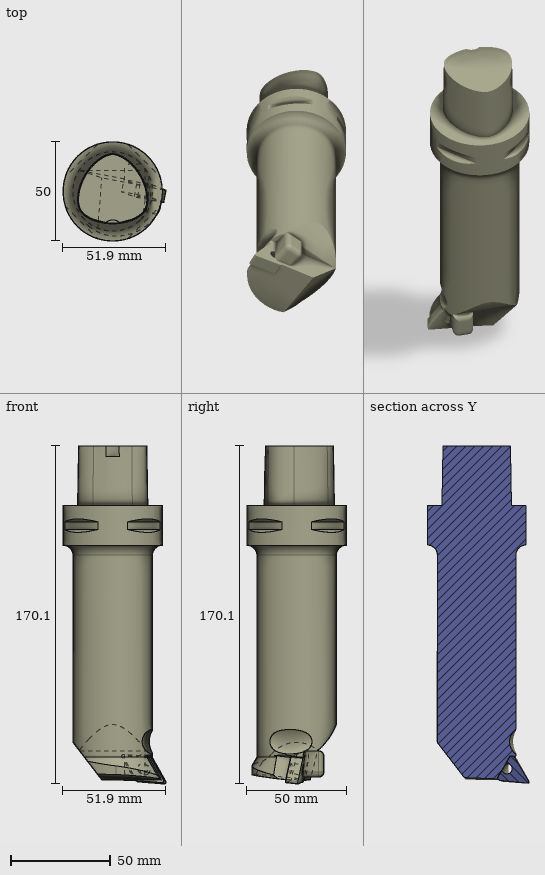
import cadquery as cq
import math


shank_height = 30.0
shank_base_radius = 17.7
shank_top_radius = 17.2
lobe_height = 1.4
corner_half_angle = 38
arc_steps = 4
key_notch_radius = 4.6
key_notch_depth = 5.3
key_notch_center_y = -18.9
flange_radius = 50.0 / 2
flange_height = 20.0
groove_floor_distance = 22.1
groove_center_z = -10.2
groove_floor_height = 3.7
groove_mouth_height = 6.8
groove_angles = (45, 135, 225, 315)

bar_radius = 40.0 / 2
neck_fillet = flange_radius - bar_radius
flare_start_z = -126.6
flare_angle = 30
head_low_z = -141.1
flare_end_radius = bar_radius + (flare_start_z - head_low_z) * math.tan(math.radians(flare_angle))
head_wall_center_x = 1.7
head_wall_front_y = -22.5
head_wall_left_radius = 21.5
head_wall_right_radius = 25.0
bottom_plane_z = -137.5
bottom_normal = (0.04, 0.1, 1)
relief_start_z = -119.2
relief_end = (-5.5, -138.0)

tip = (27.5, 0.3, -140.2)
rake_normal = (0.19, 1, -0.11)
insert_edge = 15.5
insert_angle = 55
insert_lead_angle = 4.5
insert_thickness = 6.3
insert_nose_radius = 0.8
insert_hole_diameter = 5.1
flank_clearance = 0.8

pocket_start = (bar_radius + 0.3, -109.3)
pocket_middle = (15.6, -118.0)
pocket_end = (10.5, -123.5)
scallop_radius = 7.6
scallop_center = (22.6, -13.3, -118.8)
scallop_axis = (0.17, 1, 0)
clamp_center_x = 11.0
clamp_width = 10.2
clamp_top_y = 13.8
clamp_low_z = -136.7
clamp_corner_radius = 2.7

cut_size = 102
rake_plane = cq.Plane(origin=tip, xDir=(-rake_normal[1], rake_normal[0], 0), normal=rake_normal)


def lobed_point(normal_angle, radius):
    """Point on a three-lobed curve of constant width, one lobe pointing to +Y."""
    angle = math.radians(normal_angle)
    support = radius - lobe_height * math.sin(3 * angle)
    slope = -3 * lobe_height * math.cos(3 * angle)
    x = support * math.cos(angle) - slope * math.sin(angle)
    y = support * math.sin(angle) + slope * math.cos(angle)
    return (x, y)


def lobed_edge(center_angle, half_angle, radius, z):
    """Smooth stretch of the lobed curve; both angles are directions of its normal."""
    angles = [center_angle + half_angle * step / arc_steps for step in range(-arc_steps, arc_steps + 1)]
    points = [cq.Vector(*lobed_point(angle, radius), z) for angle in angles]
    ends = [math.radians(angles[0]), math.radians(angles[-1])]
    tangents = [cq.Vector(-math.sin(end), math.cos(end), 0) for end in ends]
    return cq.Edge.makeSpline(points, tangents=tangents)


def lobed_wire(radius, z):
    """Closed section: a corner and a flatter side for each of the three lobes."""
    edges = []
    for lobe_angle in (90, 210, 330):
        edges.append(lobed_edge(lobe_angle, corner_half_angle, radius, z))
        edges.append(lobed_edge(lobe_angle + 60, 60 - corner_half_angle, radius, z))
    return cq.Wire.assembleEdges(edges)


def make_shank():
    base = lobed_wire(shank_base_radius, 0)
    top = lobed_wire(shank_top_radius, shank_height)
    shank = cq.Workplane(cq.Solid.makeLoft([base, top], True))
    notch = (
        cq.Workplane("XY", origin=(0, key_notch_center_y, shank_height - key_notch_depth))
        .circle(key_notch_radius)
        .extrude(key_notch_depth)
    )
    return shank.cut(notch)


def make_bar_and_cone():
    """Flange, concave neck, straight bar and flared cone as one turned profile."""
    fillet_z = -flange_height - neck_fillet
    diagonal = neck_fillet * (1 - math.sqrt(0.5))
    profile = (
        cq.Workplane("XZ")
        .moveTo(0, 0)
        .lineTo(flange_radius, 0)
        .lineTo(flange_radius, -flange_height)
        .threePointArc(
            (bar_radius + diagonal, -flange_height - diagonal),
            (bar_radius, fillet_z),
        )
        .lineTo(bar_radius, flare_start_z)
        .lineTo(flare_end_radius, head_low_z)
        .lineTo(0, head_low_z)
        .close()
    )
    return profile.revolve(360, (0, 0, 0), (0, 1, 0))


def make_gripper_groove(angle):
    """Trapezoidal straight groove across one side of the flange."""
    depth = flange_radius - groove_floor_distance
    slope = (groove_mouth_height - groove_floor_height) / 2 / depth
    outer_distance = flange_radius + depth
    outer_half = groove_floor_height / 2 + slope * 2 * depth
    floor_half = groove_floor_height / 2
    groove = (
        cq.Workplane("XZ", origin=(0, 0, groove_center_z))
        .polyline(
            [
                (groove_floor_distance, -floor_half),
                (outer_distance, -outer_half),
                (outer_distance, outer_half),
                (groove_floor_distance, floor_half),
            ]
        )
        .close()
        .extrude(flange_radius, both=True)
    )
    return groove.rotate((0, 0, 0), (0, 0, 1), angle)


def make_head_limit():
    """Vertical wall round the head: two tangent arcs that meet at its front."""
    left_x = head_wall_center_x - head_wall_left_radius
    right_x = head_wall_center_x + head_wall_right_radius
    left_y = head_wall_front_y + head_wall_left_radius
    right_y = head_wall_front_y + head_wall_right_radius
    half = math.sqrt(0.5)
    return (
        cq.Workplane("XY", origin=(0, 0, head_low_z))
        .moveTo(left_x, left_y)
        .threePointArc(
            (head_wall_center_x - half * head_wall_left_radius, left_y - half * head_wall_left_radius),
            (head_wall_center_x, head_wall_front_y),
        )
        .threePointArc(
            (head_wall_center_x + half * head_wall_right_radius, right_y - half * head_wall_right_radius),
            (right_x, right_y),
        )
        .lineTo(right_x, cut_size)
        .lineTo(left_x, cut_size)
        .close()
        .extrude(flare_start_z - head_low_z)
    )


def make_back_relief():
    """Wedge cut from the -X side below the sloping back of the head."""
    end_x, end_z = relief_end
    slope = (end_z - relief_start_z) / (end_x + bar_radius)
    outer_x = -2 * bar_radius
    low_x = 2 * end_x + bar_radius
    low_z = 2 * end_z - relief_start_z
    return (
        cq.Workplane("XZ")
        .polyline(
            [
                (outer_x, relief_start_z + slope * (outer_x + bar_radius)),
                (low_x, low_z),
                (outer_x, low_z),
            ]
        )
        .close()
        .extrude(cut_size, both=True)
    )


def make_bottom_cut():
    across = (bottom_normal[2], 0, -bottom_normal[0])
    plane = cq.Plane(origin=(0, 0, bottom_plane_z), xDir=across, normal=bottom_normal)
    return cq.Workplane(plane).rect(cut_size, cut_size).extrude(-cut_size / 2)


def make_space_above_rake():
    return cq.Workplane(rake_plane).rect(2 * cut_size, 2 * cut_size).extrude(cut_size)


def make_pocket():
    """Chip pocket: behind the curved ramp and above the plane of the rake face."""
    beyond_ramp = (
        cq.Workplane("YZ")
        .moveTo(*pocket_start)
        .threePointArc(pocket_middle, pocket_end)
        .lineTo(-bar_radius, pocket_end[1])
        .lineTo(-bar_radius, head_low_z)
        .lineTo(2 * bar_radius, head_low_z)
        .lineTo(2 * bar_radius, pocket_start[1])
        .close()
        .extrude(cut_size, both=True)
    )
    return beyond_ramp.intersect(make_space_above_rake())


def make_scallop():
    plane = cq.Plane(origin=scallop_center, xDir=(0, 0, 1), normal=scallop_axis)
    return cq.Workplane(plane).circle(scallop_radius).extrude(bar_radius * 2, both=True)


def make_flank_cut():
    """Clearance along the long free edge of the insert, through the head behind it."""
    edge_angle = insert_lead_angle + insert_angle
    return (
        cq.Workplane(rake_plane)
        .transformed(rotate=(0, 0, edge_angle))
        .center(0, insert_edge / 2 - flank_clearance)
        .rect(2 * insert_edge, insert_edge)
        .extrude(-cut_size / 2)
    )


def make_clamp():
    """Clamp finger with rounded corners that rises from the pocket floor."""
    height = pocket_end[1] - clamp_low_z
    block = (
        cq.Workplane("XY", origin=(clamp_center_x, clamp_top_y / 2, clamp_low_z))
        .rect(clamp_width, clamp_top_y)
        .extrude(height)
        .edges(">Y or (<Z and |Y)")
        .fillet(clamp_corner_radius)
    )
    return block.intersect(make_space_above_rake())


def make_insert_blank():
    angle = math.radians(insert_angle)
    side = (insert_edge * math.cos(angle), insert_edge * math.sin(angle))
    return (
        cq.Workplane(rake_plane)
        .transformed(rotate=(0, 0, insert_lead_angle))
        .polyline([(0, 0), (insert_edge, 0), (insert_edge + side[0], side[1]), side])
        .close()
        .extrude(-insert_thickness)
        .edges(cq.selectors.ParallelDirSelector(cq.Vector(*rake_normal)))
        .fillet(insert_nose_radius)
    )


def make_insert():
    hole_distance = insert_edge * math.cos(math.radians(insert_angle / 2))
    hole = (
        cq.Workplane(rake_plane)
        .transformed(rotate=(0, 0, insert_lead_angle + insert_angle / 2))
        .center(hole_distance, 0)
        .circle(insert_hole_diameter / 2)
        .extrude(-insert_thickness)
    )
    return make_insert_blank().cut(hole)


def make_holder():
    turned = make_bar_and_cone()
    upper_level = cq.Workplane("XY", origin=(0, 0, flare_start_z))
    upper_limit = upper_level.circle(flange_radius).extrude(-flare_start_z)
    holder = turned.intersect(upper_limit).union(turned.intersect(make_head_limit()))
    holder = holder.union(make_shank())
    for angle in groove_angles:
        holder = holder.cut(make_gripper_groove(angle))
    holder = holder.cut(make_back_relief()).cut(make_bottom_cut())
    holder = holder.cut(make_pocket()).cut(make_scallop()).cut(make_flank_cut())
    return holder.cut(make_insert_blank()).union(make_clamp())


holder = make_holder()
insert = make_insert()
result = cq.Compound.makeCompound([*holder.solids().vals(), insert.val()])